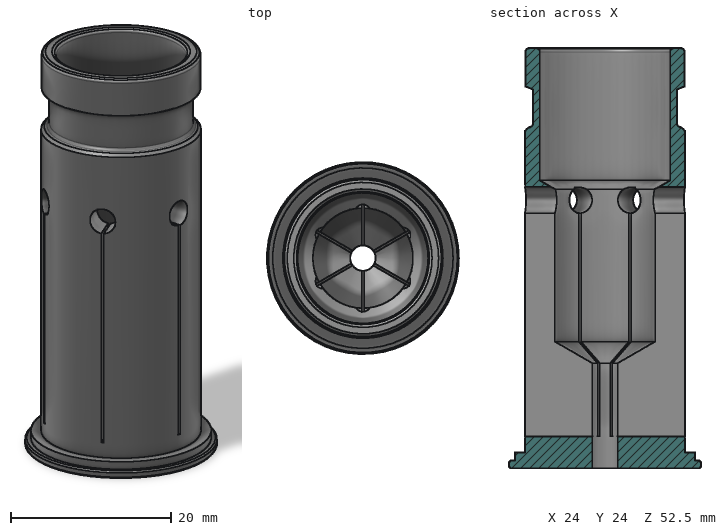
import cadquery as cq
import math

total_height = 52.5
rim_height = 1.0
flange_height = 2.0
shoulder_z = 42.5
collar_edge_z = 47.65

rim_diameter = 24.0
flange_diameter = 22.5
body_diameter = 20.0
neck_diameter = 18.0
collar_diameter = 19.9

lip_size = 0.5
lip_bevel_width = 0.34
neck_root_radius = 0.445
shoulder_chamfer = 0.395
cone_slope = math.radians(22)
rim_chamfer = 0.2

upper_bore_diameter = 16.3
lower_bore_diameter = 12.5
pilot_diameter = 3.15
cone_half_angle = math.radians(60)
seat_z = 34.85
lower_bore_floor_z = 13.1

slit_count = 6
slit_width = 0.3
slit_bottom_z = 4.0
relief_diameter = 3.25
relief_z = 33.5
first_slit_angle = 30.0


def cone_rise(large_diameter, small_diameter):
    """Axial height of a bore cone between two diameters."""
    return (large_diameter - small_diameter) / 2 / math.tan(cone_half_angle)


def revolve_about_z(profile):
    return profile.revolve(360, (0, 0, 0), (0, 1, 0))


lip_bevel_drop = lip_bevel_width * math.tan(cone_slope)
lip_arc_width = lip_size - lip_bevel_width
lip_arc_height = lip_size - lip_bevel_drop
lip_arc_radius = (lip_arc_width**2 + lip_arc_height**2) / (2 * lip_arc_width)


def outer_body():
    """Solid of revolution: rim, flange, body, necked groove and top collar."""
    rim_radius = rim_diameter / 2
    flange_radius = flange_diameter / 2
    body_radius = body_diameter / 2
    neck_radius = neck_diameter / 2
    collar_radius = collar_diameter / 2

    slope = math.tan(cone_slope)
    shoulder_radius = body_radius - shoulder_chamfer
    root_radius = neck_radius + neck_root_radius * (1 - math.sin(cone_slope))
    root_z = shoulder_z + (shoulder_radius - root_radius) * slope
    neck_bottom_z = root_z + neck_root_radius * math.cos(cone_slope)
    neck_top_z = collar_edge_z - (collar_radius - neck_radius) * slope

    profile = (
        cq.Workplane("XZ")
        .moveTo(0, 0)
        .lineTo(rim_radius - rim_chamfer, 0)
        .lineTo(rim_radius, rim_chamfer)
        .lineTo(rim_radius, rim_height - rim_chamfer)
        .lineTo(rim_radius - rim_chamfer, rim_height)
        .lineTo(flange_radius, rim_height)
        .lineTo(flange_radius, flange_height)
        .lineTo(body_radius, flange_height)
        .lineTo(body_radius, shoulder_z - shoulder_chamfer)
        .lineTo(shoulder_radius, shoulder_z)
        .lineTo(root_radius, root_z)
        .radiusArc((neck_radius, neck_bottom_z), neck_root_radius)
        .lineTo(neck_radius, neck_top_z)
        .lineTo(collar_radius, collar_edge_z)
        .lineTo(collar_radius, total_height - lip_size)
        .radiusArc((collar_radius - lip_arc_width, total_height - lip_bevel_drop), -lip_arc_radius)
        .lineTo(collar_radius - lip_size, total_height)
        .lineTo(0, total_height)
        .close()
    )
    return revolve_about_z(profile)


def bore():
    """Upper bore, conical seat, lower bore, conical floor and pilot hole."""
    upper_radius = upper_bore_diameter / 2
    lower_radius = lower_bore_diameter / 2
    pilot_radius = pilot_diameter / 2
    seat_top_z = seat_z + cone_rise(upper_bore_diameter, lower_bore_diameter)
    floor_top_z = lower_bore_floor_z + cone_rise(lower_bore_diameter, pilot_diameter)
    profile = (
        cq.Workplane("XZ")
        .moveTo(0, 0)
        .lineTo(pilot_radius, 0)
        .lineTo(pilot_radius, lower_bore_floor_z)
        .lineTo(lower_radius, floor_top_z)
        .lineTo(lower_radius, seat_z)
        .lineTo(upper_radius, seat_top_z)
        .lineTo(upper_radius, total_height - lip_size)
        .radiusArc((upper_radius + lip_arc_width, total_height - lip_bevel_drop), lip_arc_radius)
        .lineTo(upper_radius + lip_size, total_height)
        .lineTo(0, total_height)
        .close()
    )
    return revolve_about_z(profile)


def slit(angle):
    """Radial slit from the axis outward, with its relief hole at the top end."""
    reach = rim_diameter / 2
    slot = (
        cq.Workplane("XY")
        .workplane(offset=slit_bottom_z)
        .center(reach / 2, 0)
        .rect(reach, slit_width)
        .extrude(relief_z - slit_bottom_z)
    )
    relief = (
        cq.Workplane("YZ")
        .center(0, relief_z)
        .circle(relief_diameter / 2)
        .extrude(reach)
    )
    return slot.union(relief).rotate((0, 0, 0), (0, 0, 1), angle)


result = outer_body().cut(bore())
for index in range(slit_count):
    result = result.cut(slit(first_slit_angle + index * 360 / slit_count))